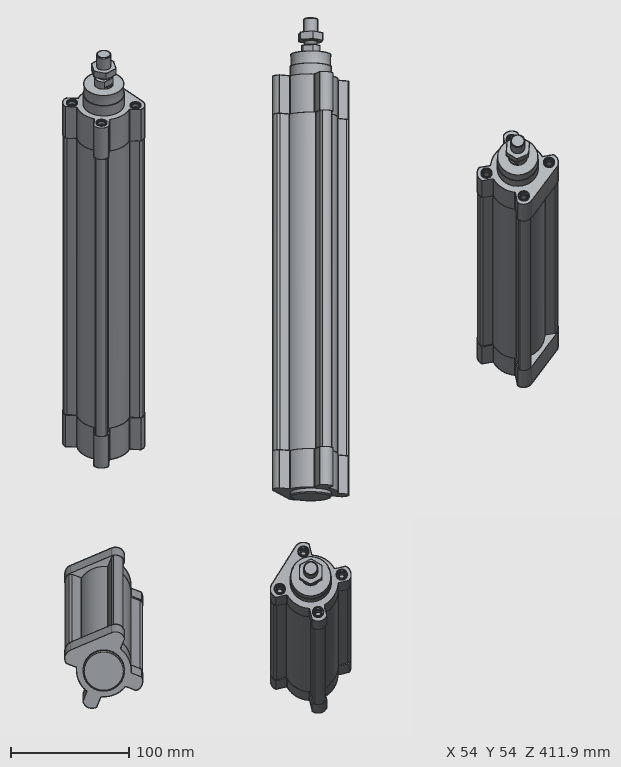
import cadquery as cq
import math

overall_height = 411.9
base_collar_height = 4.0
cap_height = 33.0
head_collar_height = 10.5
waisted_collar_height = 10.5
rod_exposed_length = 31.0
rod_top = overall_height - base_collar_height
waisted_collar_top = rod_top - rod_exposed_length
waisted_collar_bottom = waisted_collar_top - waisted_collar_height
upper_cap_top = waisted_collar_bottom - head_collar_height
upper_cap_bottom = upper_cap_top - cap_height
barrel_height = upper_cap_bottom - cap_height

screw_offset = 19.0
cap_half_width = 27.0
cap_core_radius = 23.1
cap_step = 20.5
cap_web_width = 12.7

barrel_half_width = 26.8
barrel_core_radius = 23.0
barrel_step = 19.75
barrel_web_width = 10.6
barrel_taper_start = 30.8
barrel_taper_angle = 20.0

collar_diameter = 35.0
base_collar_chamfer = 1.0
waisted_collar_diameter = 34.0
waist_diameter = 33.4

screw_steps = [(9.5, 0.5), (8.0, 1.0), (6.0, 4.0), (4.92, 12.0)]
screw_places = [(x * screw_offset, y * screw_offset) for x in (-1, 1) for y in (-1, 1)]

rod_diameter = 16.0
rod_length = 60.0
flats_width = 13.0
flats_length = 6.0
thread_diameter = 12.0
thread_tip_diameter = 10.65
thread_end_drop = 19.9
neck_diameter = 9.5
neck_start_drop = 22.5
shoulder_drop = 23.5

nut_across_flats = 19.0
nut_height = 6.5
nut_drop = 12.6
nut_face_diameter = 20.8


def disc(diameter, bottom, height):
    """Plain cylinder on the main axis."""
    return cq.Workplane("XY").workplane(offset=bottom).circle(diameter / 2).extrude(height)


def lobed_block(bottom, height, half_width, core_radius, step, web_width, taper_start=None):
    """Round core with a square step and two crossing diagonal webs that end in rounded lobes.

    With a taper start, the webs narrow from there out to their tips.
    """
    plane = cq.Workplane("XY").workplane(offset=bottom)
    lobe_radius = half_width - screw_offset
    frame = plane.rect(2 * half_width, 2 * half_width).extrude(height).edges("|Z").fillet(lobe_radius)

    tip = half_width * math.sqrt(2)
    half = web_width / 2
    if taper_start is None:
        upper_side = [(tip, half), (-tip, half)]
    else:
        tip_half = half - (tip - taper_start) * math.tan(math.radians(barrel_taper_angle))
        upper_side = [(tip, tip_half), (taper_start, half), (-taper_start, half), (-tip, tip_half)]
    lower_side = [(-x, -y) for x, y in upper_side]

    block = disc(2 * core_radius, bottom, height)
    block = block.union(plane.rect(2 * step, 2 * step).extrude(height))
    for angle in (45, -45):
        web_plane = plane.transformed(rotate=(0, 0, angle))
        web = web_plane.polyline(upper_side + lower_side).close().extrude(height)
        block = block.union(web.intersect(frame))
    return block


def end_cap(bottom):
    """Lobed block whose +Y side is closed flat between the lobes."""
    cap = lobed_block(bottom, cap_height, cap_half_width, cap_core_radius, cap_step, cap_web_width)
    port_plate = cq.Workplane("XY").box(
        2 * screw_offset, cap_half_width, cap_height, centered=(True, False, False)
    )
    return cap.union(port_plate.translate((0, 0, bottom)))


def waisted_collar():
    """Collar whose side curves gently inward at mid height."""
    rim = waisted_collar_diameter / 2
    middle = (waisted_collar_bottom + waisted_collar_top) / 2
    profile = (
        cq.Workplane("XZ")
        .moveTo(0, waisted_collar_bottom)
        .lineTo(rim, waisted_collar_bottom)
        .threePointArc((waist_diameter / 2, middle), (rim, waisted_collar_top))
        .lineTo(0, waisted_collar_top)
        .close()
    )
    return profile.revolve(360, (0, 0, 0), (0, 1, 0))


def cylinder_housing():
    """Barrel, two end caps and collars, bored for the rod and the sunken screw heads."""
    body = lobed_block(
        cap_height,
        barrel_height,
        barrel_half_width,
        barrel_core_radius,
        barrel_step,
        barrel_web_width,
        barrel_taper_start,
    )
    body = body.union(end_cap(0)).union(end_cap(upper_cap_bottom))
    base_collar = disc(collar_diameter, -base_collar_height, base_collar_height)
    body = body.union(base_collar.faces("<Z").chamfer(base_collar_chamfer))
    body = body.union(disc(collar_diameter, upper_cap_top, head_collar_height))
    body = body.union(waisted_collar())
    lobe_tops = cq.Workplane("XY").workplane(offset=upper_cap_top).pushPoints(screw_places)
    for diameter, depth in screw_steps:
        body = body.cut(lobe_tops.circle(diameter / 2).extrude(-depth))
    return body.cut(disc(rod_diameter, rod_top - rod_length, rod_length))


def piston_rod():
    """Rod with two wrench flats, a tapered neck and a chamfered threaded end."""
    profile = [
        (0, rod_length),
        (rod_diameter / 2, rod_length),
        (rod_diameter / 2, shoulder_drop),
        (neck_diameter / 2, shoulder_drop),
        (neck_diameter / 2, neck_start_drop),
        (thread_diameter / 2, thread_end_drop),
        (thread_diameter / 2, (thread_diameter - thread_tip_diameter) / 2),
        (thread_tip_diameter / 2, 0),
        (0, 0),
    ]
    points = [(radius, rod_top - drop) for radius, drop in profile]
    body = cq.Workplane("XZ").polyline(points).close().revolve(360, (0, 0, 0), (0, 1, 0))
    flats_bottom = rod_top - shoulder_drop - flats_length
    kept = cq.Workplane("XY").box(flats_width, rod_diameter, flats_length, centered=(True, True, False))
    waste = disc(rod_diameter, flats_bottom, flats_length).cut(kept.translate((0, 0, flats_bottom)))
    return body.cut(waste)


def lock_nut():
    """Hexagon nut, corners along Y, with both faces bevelled at the corners."""
    bottom = rod_top - nut_drop - nut_height
    plane = cq.Workplane("XY").workplane(offset=bottom)
    hexagon = plane.polygon(6, nut_across_flats, circumscribed=True).extrude(nut_height)
    across_corners = nut_across_flats / math.cos(math.radians(30))
    bevel_width = (across_corners - nut_face_diameter) / 2
    bevel_height = bevel_width * math.tan(math.radians(30))
    envelope = disc(across_corners, bottom, nut_height)
    envelope = envelope.faces("<Z or >Z").chamfer(bevel_height, bevel_width)
    return hexagon.intersect(envelope).cut(disc(thread_diameter, bottom, nut_height))


housing = cylinder_housing()
rod = piston_rod()
nut = lock_nut()

result = cq.Compound.makeCompound([housing.val(), rod.val(), nut.val()])